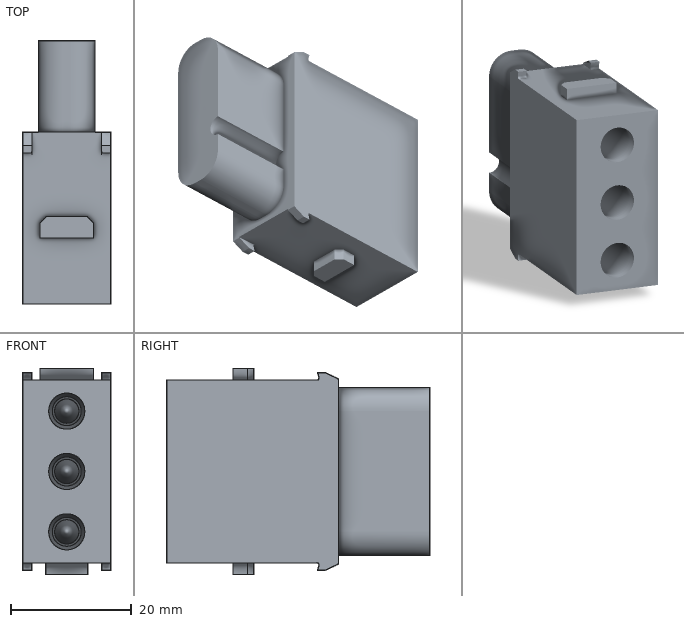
import cadquery as cq

body_width = 14.6
body_height = 30.35
body_length = 28.55

total_length = 43.7
hood_width = 9.45
hood_height = 27.92
hood_corner_radius = 3.98

cavity_count = 3
cavity_pitch = 10.0
cavity_mouth_diameter = 6.0
cavity_floor_diameter = 4.8
cavity_depth = 13.1
cavity_shoulder_length = 0.87
pin_diameter = 4.0
pin_tip_length = 3.5

groove_diameter = 3.55
groove_z = -cavity_pitch / 2

tab_height = 1.92
tab_length = 3.5
tab_front = 11.0
tab_chamfer = 1.05
top_tab_width = 8.9
bottom_tab_width = 7.0

hook_width = 1.55
hook_height = 1.22
hook_rear_height = 0.17
hook_ramp_length = 2.25
hook_length = 3.5
hook_undercut = 0.2
hook_root_radius = 0.4


def make_housing():
    return cq.Workplane("XY").box(body_width, body_length, body_height, centered=(True, False, True))


def make_hood():
    hood = (
        cq.Workplane("XY")
        .box(hood_width, total_length - body_length, hood_height, centered=(True, False, True))
        .translate((0, body_length, 0))
        .edges("|Y")
        .fillet(hood_corner_radius)
    )
    groove = (
        cq.Workplane("XZ", origin=(-hood_width / 2, body_length, groove_z))
        .circle(groove_diameter / 2)
        .extrude(body_length - total_length)
    )
    return hood.cut(groove)


def make_top_tab(width):
    """Tab on the top face with its two rear corners chamfered."""
    return (
        cq.Workplane("XY")
        .box(width, tab_length, tab_height, centered=(True, False, False))
        .edges("|Z and >Y")
        .chamfer(tab_chamfer)
        .translate((0, tab_front, body_height / 2))
    )


def make_top_hook():
    """Ramped hook at the -X end of the rear top edge, with an undercut front face."""
    top = body_height / 2
    root_y = body_length - hook_length + hook_undercut
    return (
        cq.Workplane("YZ", origin=(-body_width / 2, 0, 0))
        .moveTo(body_length, top)
        .lineTo(body_length, top + hook_rear_height)
        .lineTo(body_length - hook_ramp_length, top + hook_height)
        .lineTo(body_length - hook_length, top + hook_height)
        .lineTo(root_y, top + hook_root_radius)
        .tangentArcPoint((root_y - hook_root_radius, top), relative=False)
        .close()
        .extrude(hook_width)
    )


def make_cavity(z):
    """Cavity volume with a conical shoulder and a conical pin tip left standing on its floor."""
    cavity = (
        cq.Workplane("XY")
        .lineTo(cavity_mouth_diameter / 2, 0)
        .lineTo(cavity_mouth_diameter / 2, cavity_depth - cavity_shoulder_length)
        .lineTo(cavity_floor_diameter / 2, cavity_depth)
        .lineTo(pin_diameter / 2, cavity_depth)
        .lineTo(0, cavity_depth - pin_tip_length)
        .close()
        .revolve(360, (0, 0, 0), (0, 1, 0))
    )
    return cavity.translate((0, 0, z))


result = make_housing().union(make_hood())

result = result.union(make_top_tab(top_tab_width))
result = result.union(make_top_tab(bottom_tab_width).mirror("XY"))

top_left_hook = make_top_hook()
top_hooks = top_left_hook.union(top_left_hook.mirror("YZ"))
result = result.union(top_hooks).union(top_hooks.mirror("XY"))

for index in range(cavity_count):
    cavity_z = (index - (cavity_count - 1) / 2) * cavity_pitch
    result = result.cut(make_cavity(cavity_z))